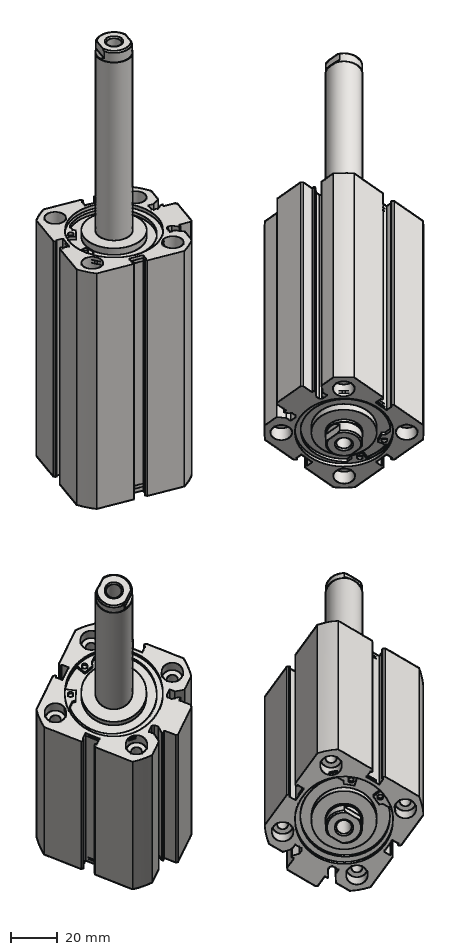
import cadquery as cq
import math

TOTAL_LENGTH = 225.0
HOUSING_BOTTOM = 7.0
HOUSING_LENGTH = 121.0
HOUSING_TOP = HOUSING_BOTTOM + HOUSING_LENGTH
HOUSING_MIDDLE = HOUSING_BOTTOM + HOUSING_LENGTH / 2

HOUSING_WIDTH = 54.0
HALF_WIDTH = HOUSING_WIDTH / 2
CORNER_RADIUS = 34.0
BORE_RADIUS = 21.0

SLOT_HALF_WIDTH = 6.5 / 2
SLOT_MOUTH_HALF_WIDTH = 5.2 / 2
SLOT_FLOOR = 22.5
SLOT_LIP_DEPTH = 1.4
SLOT_BEVEL_DEPTH = 0.7

RAIL_TOP = 33.0
RAIL_HALF_WIDTH = 7.9
RAIL_CORNER = 0.7
RAIL_LIP_HALF_WIDTH = 9.2
RAIL_LIP_THICKNESS = 0.7
RAIL_NECK_HALF_WIDTH = 7.2
RAIL_NECK_TOP = 23.8
RAIL_NECK_BOTTOM = 22.0
CHANNEL_FLOOR = 21.2
CHANNEL_WALL = 11.0
CHANNEL_BEVEL_WIDTH = 2.5
CHANNEL_BEVEL_HEIGHT = 3.4

HOLE_PITCH = 37.8
HOLE_DIAMETER = 4.7
COUNTERBORE_DIAMETER = 9.2
COUNTERBORE_DEPTH = 7.0

RING_DEPTH = 1.8
RING_THICKNESS = 1.5
RING_RADIUS = 44.3 / 2
RING_INNER_RADIUS = 19.1
RING_OFFSET = 1.0
LUG_HOLE_DIAMETER = 2.5
LUG_HOLE_X = 7.5
LUG_HOLE_Y = -16.9
LUG_GAP_X = 4.7
LUG_GAP_Y = -15.5
LUG_PEAK_X = 9.0
LUG_PEAK_Y = -13.7
LUG_SHOULDER_X = 10.1
LUG_SHOULDER_Y = -14.8
LUG_ROOT_X = 13.3

COVER_DEPTH = RING_DEPTH + RING_THICKNESS
COVER_LENGTH = 18.0
BOSS_RADIUS = 14.0

ROD_RADIUS = 16.0 / 2
TIP_RADIUS = 7.9
TIP_LENGTH = 5.6
TIP_CHAMFER = 0.7
FLAT_DISTANCE = 13.3 / 2
ROD_HOLE_DIAMETER = 6.5
ROD_HOLE_CHAMFER = 0.7
ROD_HOLE_DEPTH = 15.0
DRILL_POINT_ANGLE = 118.0


def prism(outline, bottom, height):
    return outline.extrude(height).translate((0, 0, bottom))


def disc(radius, bottom, height):
    return cq.Workplane("XY").workplane(offset=bottom).circle(radius).extrude(height)


def symmetric_profile(half):
    """Profile as long as the housing, from the +X half of its outline."""
    other_half = [(-x, y) for x, y in reversed(half)]
    outline = cq.Workplane("XY").polyline(half + other_half).close()
    return prism(outline, HOUSING_BOTTOM, HOUSING_LENGTH)


def mirrored_end(body):
    """Copy of a body from the upper end of the housing, placed at its lower end."""
    return body.mirror("XY", (0, 0, HOUSING_MIDDLE))


def housing_block():
    square = cq.Workplane("XY").workplane(offset=HOUSING_BOTTOM)
    square = square.rect(HOUSING_WIDTH, HOUSING_WIDTH).extrude(HOUSING_LENGTH)
    return square.intersect(disc(CORNER_RADIUS, HOUSING_BOTTOM, HOUSING_LENGTH))


def slot_cutter():
    """Undercut slot in the -Y side: a bevelled mouth that widens behind its lips."""
    lip_back = HALF_WIDTH - SLOT_LIP_DEPTH
    half = [
        (SLOT_HALF_WIDTH, -HALF_WIDTH),
        (SLOT_MOUTH_HALF_WIDTH, SLOT_BEVEL_DEPTH - HALF_WIDTH),
        (SLOT_MOUTH_HALF_WIDTH, -lip_back),
        (SLOT_HALF_WIDTH, -lip_back),
        (SLOT_HALF_WIDTH, -SLOT_FLOOR),
    ]
    return symmetric_profile(half)


def channel_cutter():
    """Trapezoidal opening in the +Y side in which the rail stands."""
    half = [
        (CHANNEL_WALL, CHANNEL_FLOOR),
        (CHANNEL_WALL, HALF_WIDTH - CHANNEL_BEVEL_HEIGHT),
        (CHANNEL_WALL + CHANNEL_BEVEL_WIDTH, HALF_WIDTH),
    ]
    return symmetric_profile(half)


def rail():
    half = [
        (RAIL_HALF_WIDTH, CHANNEL_FLOOR),
        (RAIL_NECK_HALF_WIDTH, RAIL_NECK_BOTTOM),
        (RAIL_NECK_HALF_WIDTH, RAIL_NECK_TOP),
        (RAIL_LIP_HALF_WIDTH, HALF_WIDTH - RAIL_LIP_THICKNESS),
        (RAIL_LIP_HALF_WIDTH, HALF_WIDTH),
        (RAIL_HALF_WIDTH, HALF_WIDTH),
        (RAIL_HALF_WIDTH, RAIL_TOP - RAIL_CORNER),
        (RAIL_HALF_WIDTH - RAIL_CORNER, RAIL_TOP),
    ]
    return symmetric_profile(half)


def mounting_hole_cutters():
    corners = cq.Workplane("XY").rect(HOLE_PITCH, HOLE_PITCH, forConstruction=True).vertices()
    holes = prism(corners.circle(HOLE_DIAMETER / 2), HOUSING_BOTTOM, HOUSING_LENGTH)
    counterbores = prism(
        corners.circle(COUNTERBORE_DIAMETER / 2), HOUSING_TOP - COUNTERBORE_DEPTH, COUNTERBORE_DEPTH
    )
    return [holes, counterbores, mirrored_end(counterbores)]


def make_housing():
    housing = housing_block()
    slot = slot_cutter()
    for angle in (-90, 0, 90):
        housing = housing.cut(slot.rotate((0, 0, 0), (0, 0, 1), angle))
    housing = housing.cut(channel_cutter()).union(rail())
    housing = housing.cut(disc(BORE_RADIUS, HOUSING_BOTTOM, HOUSING_LENGTH))
    ring_groove = disc(RING_RADIUS, HOUSING_TOP - COVER_DEPTH, RING_THICKNESS)
    for cutter in [ring_groove, mirrored_end(ring_groove), *mounting_hole_cutters()]:
        housing = housing.cut(cutter)
    return housing


def make_cover():
    """Upper rod cover: a flange below the retaining ring and a boss level with the housing."""
    flange_top = HOUSING_TOP - COVER_DEPTH
    cover = disc(BORE_RADIUS, flange_top - COVER_LENGTH, COVER_LENGTH)
    cover = cover.union(disc(BOSS_RADIUS, flange_top, COVER_DEPTH))
    return cover.cut(disc(ROD_RADIUS, flange_top - COVER_LENGTH, COVER_LENGTH + COVER_DEPTH))


def lug_outline(side):
    """Lug on one side of the gap, reaching out past the ring's rim."""
    return cq.Workplane("XY").polyline([
        (0, LUG_GAP_Y),
        (side * LUG_GAP_X, LUG_GAP_Y),
        (side * LUG_PEAK_X, LUG_PEAK_Y),
        (side * LUG_SHOULDER_X, LUG_SHOULDER_Y),
        (side * LUG_ROOT_X, LUG_SHOULDER_Y),
        (side * LUG_ROOT_X, -RING_RADIUS),
        (0, -RING_RADIUS),
    ]).close()


def make_ring():
    """Upper retaining ring: widest at +Y, with two drilled lugs beside a gap at -Y."""
    bottom = HOUSING_TOP - COVER_DEPTH
    rim = disc(RING_RADIUS, bottom, RING_THICKNESS)
    ring = rim.cut(disc(RING_INNER_RADIUS, bottom, RING_THICKNESS).translate((0, -RING_OFFSET, 0)))
    for side in (-1, 1):
        ring = ring.union(prism(lug_outline(side), bottom, RING_THICKNESS).intersect(rim))
    gap_reach = -RING_RADIUS / LUG_GAP_Y
    gap = cq.Workplane("XY").polyline([
        (0, 0),
        (-LUG_GAP_X * gap_reach, LUG_GAP_Y * gap_reach),
        (LUG_GAP_X * gap_reach, LUG_GAP_Y * gap_reach),
    ]).close()
    lug_holes = cq.Workplane("XY").pushPoints([(-LUG_HOLE_X, LUG_HOLE_Y), (LUG_HOLE_X, LUG_HOLE_Y)])
    ring = ring.cut(prism(gap, bottom, RING_THICKNESS))
    return ring.cut(prism(lug_holes.circle(LUG_HOLE_DIAMETER / 2), bottom, RING_THICKNESS))


def rod_blank():
    """Rod turned down at both tips, with 45 degree shoulders and chamfered ends."""
    shoulder = ROD_RADIUS - TIP_RADIUS
    return (
        cq.Workplane("XZ")
        .moveTo(0, 0)
        .lineTo(TIP_RADIUS - TIP_CHAMFER, 0)
        .lineTo(TIP_RADIUS, TIP_CHAMFER)
        .lineTo(TIP_RADIUS, TIP_LENGTH - shoulder)
        .lineTo(ROD_RADIUS, TIP_LENGTH)
        .lineTo(ROD_RADIUS, TOTAL_LENGTH - TIP_LENGTH)
        .lineTo(TIP_RADIUS, TOTAL_LENGTH - TIP_LENGTH + shoulder)
        .lineTo(TIP_RADIUS, TOTAL_LENGTH - TIP_CHAMFER)
        .lineTo(TIP_RADIUS - TIP_CHAMFER, TOTAL_LENGTH)
        .lineTo(0, TOTAL_LENGTH)
        .close()
        .revolve(360, (0, 0, 0), (0, 1, 0))
    )


def flat_cutter():
    """Wrench flat on the -Y side of the upper tip, ending in a 45 degree run-out."""
    run_out = ROD_RADIUS - FLAT_DISTANCE
    shoulder_top = TOTAL_LENGTH - TIP_LENGTH
    return (
        cq.Workplane("YZ")
        .polyline([
            (-ROD_RADIUS, shoulder_top),
            (-FLAT_DISTANCE, shoulder_top + run_out),
            (-FLAT_DISTANCE, TOTAL_LENGTH),
            (-ROD_RADIUS, TOTAL_LENGTH),
        ])
        .close()
        .extrude(ROD_RADIUS, both=True)
    )


def rod_hole_cutter():
    """Drilled hole in the upper tip, chamfered at its mouth and with a conical end."""
    radius = ROD_HOLE_DIAMETER / 2
    hole_bottom = TOTAL_LENGTH - ROD_HOLE_DEPTH
    point_length = radius / math.tan(math.radians(DRILL_POINT_ANGLE / 2))
    return (
        cq.Workplane("XZ")
        .polyline([
            (0, TOTAL_LENGTH),
            (radius + ROD_HOLE_CHAMFER, TOTAL_LENGTH),
            (radius, TOTAL_LENGTH - ROD_HOLE_CHAMFER),
            (radius, hole_bottom),
            (0, hole_bottom - point_length),
        ])
        .close()
        .revolve(360, (0, 0, 0), (0, 1, 0))
    )


def make_rod():
    rod = rod_blank()
    flat = flat_cutter()
    for cutter in (flat, flat.mirror("XZ"), rod_hole_cutter()):
        rod = rod.cut(cutter)
        rod = rod.cut(cutter.mirror("XY", (0, 0, TOTAL_LENGTH / 2)))
    return rod


housing = make_housing()
rod = make_rod()
upper_cover = make_cover()
upper_ring = make_ring()
covers = [upper_cover, mirrored_end(upper_cover)]
rings = [upper_ring, mirrored_end(upper_ring)]

result = cq.Compound.makeCompound([
    housing.val(),
    rod.val(),
    *[cover.val() for cover in covers],
    *[ring.val() for ring in rings],
])